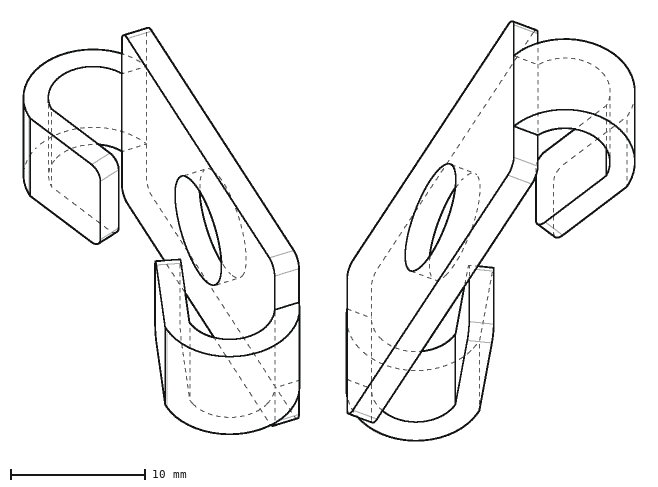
import cadquery as cq
import math

plate_length = 28.0
plate_height = 17.0
plate_thickness = 2.0
hole_diameter = 8.5
corner_radius = 1.0

arm_width = 8.0
bend_centre_x = 12.5
bend_centre_y = -5.0
bend_end_x = 12.65
leg_slope = 1 / 3
leg_tip_x = 5.0
leg_thickness = 1.86

plate_end_x = plate_length / 2
end_offset = plate_end_x - bend_centre_x
outer_radius = math.hypot(end_offset, bend_centre_y)
inner_radius = math.hypot(end_offset, bend_centre_y + plate_thickness)

leg_angle = math.atan(leg_slope)
leg_direction = cq.Vector(-math.cos(leg_angle), math.sin(leg_angle))
leg_outward = cq.Vector(-math.sin(leg_angle), -math.cos(leg_angle))


def bend_bottom_y(radius):
    """Y where a bend arc of this radius ends, just past its lowest point."""
    return bend_centre_y - math.sqrt(radius**2 - (bend_end_x - bend_centre_x) ** 2)


def make_plate():
    plate = (
        cq.Workplane("XZ")
        .rect(plate_length, plate_height)
        .extrude(plate_thickness)
        .edges("|Y")
        .fillet(corner_radius)
    )
    hole = cq.Workplane("XZ").circle(hole_diameter / 2).extrude(plate_thickness)
    return plate.cut(hole)


def make_right_arm():
    inner_end = cq.Vector(bend_end_x, bend_bottom_y(inner_radius))
    outer_end = cq.Vector(bend_end_x, bend_bottom_y(outer_radius))

    outer_on_leg = inner_end + leg_outward * leg_thickness
    flat_end_x = outer_on_leg.x + (outer_on_leg.y - outer_end.y) / leg_slope
    outer_tip_run = (outer_on_leg.x - leg_tip_x) / math.cos(leg_angle)
    outer_tip = outer_on_leg + leg_direction * outer_tip_run
    inner_tip = outer_tip - leg_outward * leg_thickness

    arm = (
        cq.Workplane("XY")
        .workplane(offset=-arm_width / 2)
        .moveTo(plate_end_x, 0)
        .threePointArc((bend_centre_x + outer_radius, bend_centre_y), (outer_end.x, outer_end.y))
        .lineTo(flat_end_x, outer_end.y)
        .lineTo(outer_tip.x, outer_tip.y)
        .lineTo(inner_tip.x, inner_tip.y)
        .lineTo(inner_end.x, inner_end.y)
        .threePointArc((bend_centre_x + inner_radius, bend_centre_y), (plate_end_x, -plate_thickness))
        .close()
        .extrude(arm_width)
    )
    tip_face = cq.DirectionMinMaxSelector(leg_direction, True)
    return arm.faces(tip_face).edges("<Z or >Z").fillet(corner_radius)


right_arm = make_right_arm()
left_arm = right_arm.mirror("YZ")
result = make_plate().union(right_arm).union(left_arm)